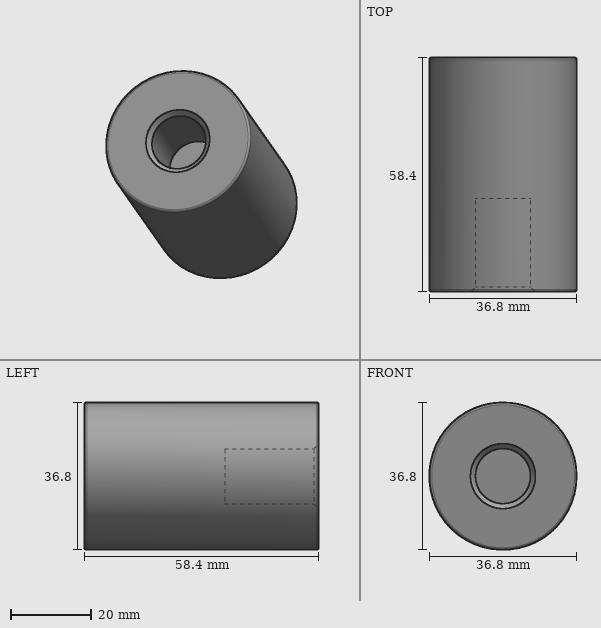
import cadquery as cq

length = 58.4
outer_diameter = 36.8
edge_radius = 0.6

hole_diameter = 13.7
hole_depth = 23.35
countersink_diameter = 16.25
countersink_angle = 90.0


def make_body():
    """Solid cylinder with both end rims rounded."""
    back_end = cq.Workplane("XZ", origin=(0, length / 2, 0))
    body = back_end.circle(outer_diameter / 2).extrude(length)
    return body.faces("<Y or >Y").edges().fillet(edge_radius)


def add_hole(body):
    """Flat-bottomed blind hole with a countersunk mouth in the -Y end."""
    return body.faces("<Y").workplane(centerOption="CenterOfBoundBox").cskHole(
        hole_diameter, countersink_diameter, countersink_angle, depth=hole_depth
    )


result = add_hole(make_body())